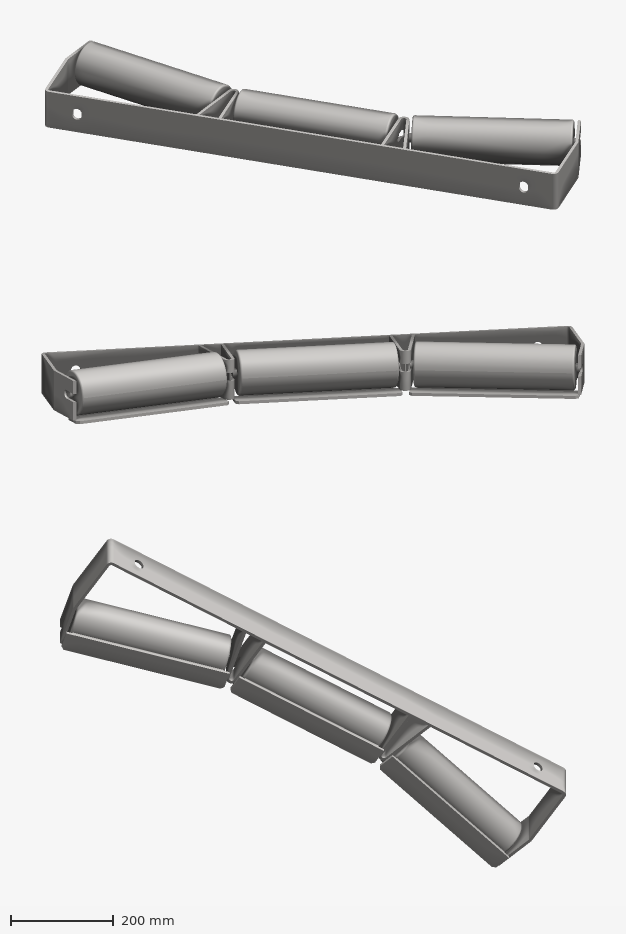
import cadquery as cq
import math

frame_length = 1050.0
strip_thickness = 6.0
strip_height = 80.0
strip_bottom = 6.0
frame_corner_radius = 10.0
end_wall_bend_radius = 12.0
end_wall_tip_y = 217.0

mount_hole_x = 457.0
mount_hole_width = 19.0
mount_hole_height = 24.0

tilt = 15.0
roller_diameter = 89.0
roller_length = 314.0
roller_edge_radius = 4.0
spindle_diameter = 19.0
spindle_length = 331.0
spindle_flats = 14.0
slot_clearance = 2.5
overall_depth = 227.2
overall_height = 97.5
center_roller_y = 99.0

support_gap = 6.5
bracket_top_y = 124.0
bracket_bend_radius = 11.0

guard_length = spindle_length
guard_width = 39.0
guard_corner = 6.0
guard_thickness = strip_bottom
guard_rib_width = 6.0

cos_tilt = math.cos(math.radians(tilt))
sin_tilt = math.sin(math.radians(tilt))
roller_radius = roller_diameter / 2
spindle_radius = spindle_diameter / 2
axis_z = overall_height - roller_radius
strip_middle_z = strip_bottom + strip_height / 2
support_face = roller_length / 2 + support_gap
support_back = support_face + strip_thickness
slot_height = spindle_flats + slot_clearance
slot_middle_z = axis_z - slot_clearance / 2

edge_center_s = roller_length / 2 - roller_edge_radius
edge_center_t = roller_radius - roller_edge_radius
wing_y = overall_depth - roller_edge_radius - edge_center_s * sin_tilt - edge_center_t * cos_tilt

bend_x = support_face + bracket_bend_radius
bend_y = bracket_top_y - bracket_bend_radius
wing_x = bend_x + (support_face + bracket_bend_radius + (bend_y - wing_y) * sin_tilt) / cos_tilt


def wing_point(s, t):
    """Point of the right wing roller's frame: s outward along its axis, t square to it (away from the base)."""
    return (wing_x + s * cos_tilt - t * sin_tilt, wing_y + s * sin_tilt + t * cos_tilt)


def wing_point_at_y(s, y):
    """Point at a given Y on the line square to the wing axis at distance s."""
    return wing_point(s, (y - wing_y - s * sin_tilt) / cos_tilt)


def wing_point_at_x(s, x):
    """Point at a given X on the line square to the wing axis at distance s."""
    return wing_point(s, (wing_x + s * cos_tilt - x) / sin_tilt)


def place_on_wing(body):
    """Move a body built about the origin along X onto the right wing roller's axis."""
    return body.rotate((0, 0, 0), (0, 0, 1), tilt).translate((wing_x, wing_y, 0))


def mirrored(body):
    return body.mirror("YZ")


def spindle_slot(s):
    """Slot for a spindle end centred at s on the X axis, open toward +Y."""
    cutter_length = strip_thickness * 2
    run = (
        cq.Workplane("XY")
        .box(cutter_length, roller_diameter, slot_height, centered=(True, False, True))
        .translate((s, 0, slot_middle_z))
    )
    end = (
        cq.Workplane("XY")
        .box(cutter_length, spindle_diameter, slot_height)
        .translate((s, 0, slot_middle_z))
    )
    round_end = (
        cq.Workplane("YZ").workplane(offset=s - cutter_length / 2)
        .center(0, axis_z).circle(spindle_radius).extrude(cutter_length)
    )
    return end.intersect(round_end).union(run)


def make_frame():
    half = frame_length / 2
    inner = half - strip_thickness
    right_side = [
        (half, 0),
        wing_point_at_x(support_back, half),
        wing_point_at_y(support_back, end_wall_tip_y),
        wing_point_at_y(support_face, end_wall_tip_y),
        wing_point_at_x(support_face, inner),
        (inner, strip_thickness),
    ]
    left_side = [(-x, y) for x, y in reversed(right_side)]
    frame = (
        cq.Workplane("XY").workplane(offset=strip_bottom)
        .polyline(right_side + left_side).close().extrude(strip_height)
    )
    bends = [
        (right_side[0], frame_corner_radius),
        (right_side[1], end_wall_bend_radius),
        (right_side[4], end_wall_bend_radius - strip_thickness),
        (right_side[5], frame_corner_radius - strip_thickness),
    ]
    for (x, y), radius in bends:
        for side in (-1, 1):
            corner = cq.selectors.NearestToPointSelector((side * x, y, strip_middle_z))
            frame = frame.edges("|Z").edges(corner).fillet(radius)

    holes = (
        cq.Workplane("XZ").center(0, strip_middle_z)
        .pushPoints([(-mount_hole_x, 0), (mount_hole_x, 0)])
        .slot2D(mount_hole_height, mount_hole_width, 90).extrude(-strip_thickness)
    )
    slot = place_on_wing(spindle_slot((support_face + support_back) / 2))
    return frame.cut(holes).cut(slot).cut(mirrored(slot))


def make_bracket():
    inner_radius = bracket_bend_radius - strip_thickness

    def bend_end(radius):
        return (bend_x + radius * cos_tilt, bend_y + radius * sin_tilt)

    def bend_top(radius):
        return (bend_x, bend_y + radius)

    bracket = (
        cq.Workplane("XY").workplane(offset=strip_bottom)
        .moveTo(support_face, strip_thickness)
        .lineTo(support_face, bend_y)
        .threePointArc(bend_top(bracket_bend_radius), bend_end(bracket_bend_radius))
        .lineTo(*wing_point_at_y(-support_face, strip_thickness))
        .lineTo(*wing_point_at_y(-support_back, strip_thickness))
        .lineTo(*bend_end(inner_radius))
        .threePointArc(bend_top(inner_radius), (support_back, bend_y))
        .lineTo(support_back, strip_thickness)
        .close().extrude(strip_height)
    )
    middle = (support_face + support_back) / 2
    center_slot = spindle_slot(middle).translate((0, center_roller_y, 0))
    wing_slot = place_on_wing(spindle_slot(-middle))
    return bracket.cut(center_slot).cut(wing_slot)


def make_roller():
    drum = (
        cq.Workplane("YZ").workplane(offset=-roller_length / 2).center(0, axis_z)
        .circle(roller_radius).extrude(roller_length).edges().fillet(roller_edge_radius)
    )
    flats = cq.Workplane("XY").box(spindle_length, spindle_diameter, spindle_flats).translate((0, 0, axis_z))
    spindle = (
        cq.Workplane("YZ").workplane(offset=-spindle_length / 2).center(0, axis_z)
        .circle(spindle_radius).extrude(spindle_length).intersect(flats)
    )
    guard = (
        cq.Workplane("XY").box(guard_length, guard_width, guard_thickness, centered=(True, False, False))
        .edges("|Z and >Y").chamfer(guard_corner)
    )
    rib = (
        cq.Workplane("XY")
        .box(roller_length - 2 * roller_edge_radius, guard_rib_width, axis_z, centered=(True, False, False))
    )
    return drum.union(spindle).union(guard).union(rib)


frame = make_frame()
bracket = make_bracket()
roller = make_roller()
center_roller = roller.translate((0, center_roller_y, 0))
wing_roller = place_on_wing(roller)

bodies = [frame.solids().val(), center_roller.solids().val()]
for right_body in (bracket, wing_roller):
    bodies.append(right_body.solids().val())
    bodies.append(mirrored(right_body).solids().val())

result = cq.Compound.makeCompound(bodies)